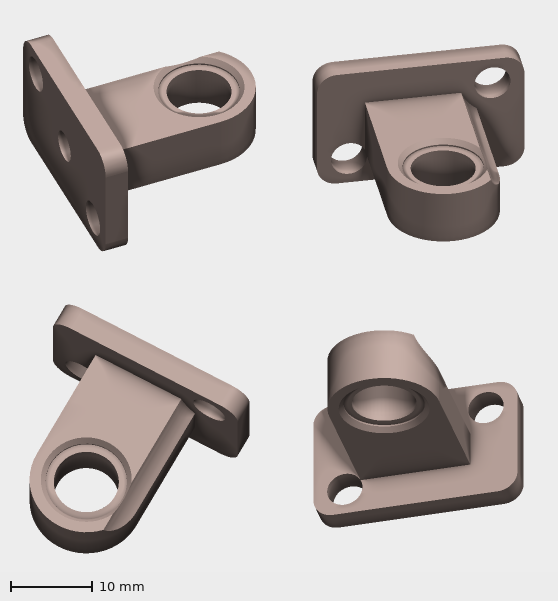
import cadquery as cq
import math

PLATE_WIDTH = 26.0
PLATE_HEIGHT = 16.0
PLATE_THICKNESS = 3.0
PLATE_CORNER_RADIUS = 2.5
MOUNT_HOLE_DIAMETER = 4.5
MOUNT_HOLE_X = 9.0
MOUNT_HOLE_Z = 4.5

DRILL_DIAMETER = 4.0
DRILL_DEPTH = 6.0
DRILL_POINT_ANGLE = 118.0

TOTAL_DEPTH = 25.0
ARM_WIDTH = 14.0
ARM_HEIGHT = 7.0
ARM_TOP = ARM_HEIGHT / 2
ARM_SIDE = -ARM_WIDTH / 2
EYE_Y = TOTAL_DEPTH - ARM_WIDTH / 2

BORE_DIAMETER = 8.0
SEAT_DIAMETER = 10.0
SEAT_DEPTH = 0.8
SEAT_CHAMFER = 0.6

RELIEF_WIDTH = 1.92
RELIEF_HEIGHT = 2.5
RELIEF_RADIUS = 5.0


def make_plate():
    """Rounded rectangular plate with two diagonal mounting holes."""
    plate = (
        cq.Workplane("XZ")
        .rect(PLATE_WIDTH, PLATE_HEIGHT)
        .extrude(-PLATE_THICKNESS)
        .edges("|Y")
        .fillet(PLATE_CORNER_RADIUS)
    )
    holes = (
        cq.Workplane("XZ")
        .pushPoints([(-MOUNT_HOLE_X, MOUNT_HOLE_Z), (MOUNT_HOLE_X, -MOUNT_HOLE_Z)])
        .circle(MOUNT_HOLE_DIAMETER / 2)
        .extrude(-PLATE_THICKNESS)
    )
    return plate.cut(holes)


def make_relief():
    """Cylinder along Y whose surface passes through both edges of the relief."""
    half_chord = math.hypot(RELIEF_WIDTH, RELIEF_HEIGHT) / 2
    chord_to_axis = math.sqrt(RELIEF_RADIUS**2 - half_chord**2)
    chord_angle = math.atan2(RELIEF_HEIGHT, RELIEF_WIDTH)
    axis_x = ARM_SIDE + RELIEF_WIDTH / 2 - chord_to_axis * math.sin(chord_angle)
    axis_z = ARM_TOP - RELIEF_HEIGHT / 2 + chord_to_axis * math.cos(chord_angle)
    return (
        cq.Workplane("XZ", origin=(0, PLATE_THICKNESS, 0))
        .center(axis_x, axis_z)
        .circle(RELIEF_RADIUS)
        .extrude(PLATE_THICKNESS - TOTAL_DEPTH)
    )


def make_arm():
    """Straight arm ending in a half-round eye."""
    return (
        cq.Workplane("XY", origin=(0, 0, -ARM_TOP))
        .moveTo(ARM_SIDE, PLATE_THICKNESS)
        .lineTo(-ARM_SIDE, PLATE_THICKNESS)
        .lineTo(-ARM_SIDE, EYE_Y)
        .threePointArc((0, TOTAL_DEPTH), (ARM_SIDE, EYE_Y))
        .close()
        .extrude(ARM_HEIGHT)
        .cut(make_relief())
    )


def make_eye_bore():
    """Through bore with a shallow seat and a 45 degree chamfer at both ends."""
    bore_radius = BORE_DIAMETER / 2
    seat_radius = SEAT_DIAMETER / 2
    seat_floor = ARM_TOP - SEAT_DEPTH
    profile = [
        (0, -ARM_TOP),
        (seat_radius + SEAT_CHAMFER, -ARM_TOP),
        (seat_radius, SEAT_CHAMFER - ARM_TOP),
        (seat_radius, -seat_floor),
        (bore_radius, -seat_floor),
        (bore_radius, seat_floor),
        (seat_radius, seat_floor),
        (seat_radius, ARM_TOP - SEAT_CHAMFER),
        (seat_radius + SEAT_CHAMFER, ARM_TOP),
        (0, ARM_TOP),
    ]
    return (
        cq.Workplane("XZ")
        .polyline(profile)
        .close()
        .revolve(360, (0, 0, 0), (0, 1, 0))
        .translate((0, EYE_Y, 0))
    )


def make_drilled_hole():
    """Blind hole from the front face, ending in a drill point."""
    radius = DRILL_DIAMETER / 2
    point_length = radius / math.tan(math.radians(DRILL_POINT_ANGLE / 2))
    return (
        cq.Workplane("XY")
        .polyline([(0, 0), (radius, 0), (radius, DRILL_DEPTH), (0, DRILL_DEPTH + point_length)])
        .close()
        .revolve(360, (0, 0, 0), (0, 1, 0))
    )


result = (
    make_plate()
    .union(make_arm())
    .cut(make_eye_bore())
    .cut(make_drilled_hole())
)